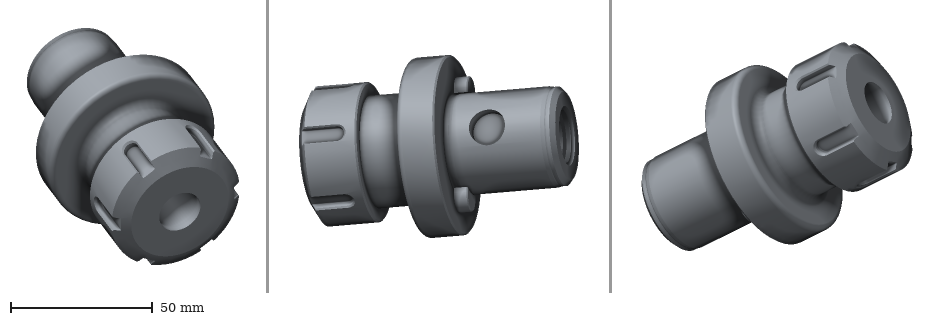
import cadquery as cq
import math


shank_length = 40.0
shank_radius = 18.0
pilot_radius = 17.7
pilot_length = 2.3
nose_chamfer_length = 1.7
nose_radius = 15.7
groove_length = 0.9
groove_radius = 17.55
groove_wall_length = 0.3
lead_in_length = 1.4

undercut_length = 2.6
undercut_taper_length = 1.3
undercut_radius = 17.7
undercut_fillet = 0.6
face_relief_depth = 0.3
face_relief_radius = 19.8

flange_radius = 32.0
flange_thickness = 14.0
flange_chamfer = 0.6
flange_fillet = 2.0
neck_radius = 20.0
neck_fillet = 3.0

bore_radius = 8.0
mouth_radius = 9.5
mouth_fillet = 1.1
mouth_depth = 2.85
bore_cone_length = 0.85

side_hole_x = -15.6
side_hole_radius = 6.6
side_hole_bottom = 12.0

key_height = 5.0
key_radius = 5.4
key_center = 19.5
key_inner_radius = 18.4
key_chamfer = 0.4
key_angles = (0, 180)

nut_start = 30.5
nut_length = 22.5
nut_end = nut_start + nut_length
nut_radius = 24.9
nut_rear_chamfer = 0.6
nut_front_radius = 18.9
nut_cone_length = 3.55

slot_count = 6
first_slot_angle = 90.0
slot_half_width = 2.75
slot_floor_fillet = 0.3
slot_center_x = 37.85
slot_floor = 22.0
slot_rim_chamfer = 0.6
slot_rim_angle = 45.0
slot_overrun = 1.0


def revolve_about_x(outline):
    """Solid of revolution from a half outline drawn as (x, radius)."""
    return outline.close().revolve(360, (0, 0, 0), (1, 0, 0))


def make_holder():
    """Shank, flange and neck in one turned body, with the side hole in the shank."""
    shank_end = -shank_length
    nose_end = shank_end + nose_chamfer_length
    pilot_end = shank_end + pilot_length
    groove_end = pilot_end + groove_length
    lead_in_start = groove_end + groove_wall_length
    mid_arc = math.radians(45)
    undercut_bottom = face_relief_depth - undercut_fillet
    mouth_bottom = shank_end + mouth_depth
    outline = (
        cq.Workplane("XY")
        .moveTo(shank_end, mouth_radius + mouth_fillet)
        .lineTo(shank_end, nose_radius)
        .lineTo(nose_end, pilot_radius)
        .lineTo(pilot_end, pilot_radius)
        .lineTo(groove_end, groove_radius)
        .lineTo(lead_in_start, pilot_radius)
        .lineTo(lead_in_start + lead_in_length, shank_radius)
        .lineTo(-undercut_length, shank_radius)
        .lineTo(-undercut_length + undercut_taper_length, undercut_radius)
        .lineTo(undercut_bottom, undercut_radius)
        .threePointArc(
            (
                undercut_bottom + undercut_fillet * math.sin(mid_arc),
                undercut_radius + undercut_fillet * (1 - math.cos(mid_arc)),
            ),
            (face_relief_depth, undercut_radius + undercut_fillet),
        )
        .lineTo(0, face_relief_radius)
        .lineTo(0, flange_radius - flange_chamfer)
        .lineTo(flange_chamfer, flange_radius)
        .lineTo(flange_thickness - flange_fillet, flange_radius)
        .radiusArc((flange_thickness, flange_radius - flange_fillet), flange_fillet)
        .lineTo(flange_thickness, neck_radius + neck_fillet)
        .radiusArc((flange_thickness + neck_fillet, neck_radius), -neck_fillet)
        .lineTo(nut_start, neck_radius)
        .lineTo(nut_start, bore_radius)
        .lineTo(mouth_bottom + bore_cone_length, bore_radius)
        .lineTo(mouth_bottom, mouth_radius)
        .lineTo(shank_end + mouth_fillet, mouth_radius)
        .radiusArc((shank_end, mouth_radius + mouth_fillet), -mouth_fillet)
    )
    side_hole = (
        cq.Workplane("XZ", origin=(side_hole_x, side_hole_bottom, 0))
        .circle(side_hole_radius)
        .extrude(side_hole_bottom - shank_radius)
    )
    return revolve_about_x(outline).cut(side_hole)


def make_key(angle):
    """Key with a rounded outer end, standing on the flange face at the +Z side, then turned about X."""
    key = (
        cq.Workplane("YZ")
        .moveTo(-key_radius, 0)
        .lineTo(-key_radius, key_center)
        .threePointArc((0, key_center + key_radius), (key_radius, key_center))
        .lineTo(key_radius, 0)
        .close()
        .extrude(-key_height)
        .faces("<X")
        .chamfer(key_chamfer)
    )
    shank_clearance = cq.Workplane("YZ").circle(key_inner_radius).extrude(-key_height)
    return key.cut(shank_clearance).rotate((0, 0, 0), (1, 0, 0), angle)


def slot_outline(half_width, height):
    """U-shaped slot, open toward the nut's front end."""
    return (
        cq.Workplane("XY", origin=(0, 0, height))
        .moveTo(nut_end + slot_overrun, -half_width)
        .lineTo(slot_center_x, -half_width)
        .threePointArc((slot_center_x - half_width, 0), (slot_center_x, half_width))
        .lineTo(nut_end + slot_overrun, half_width)
        .close()
    )


def make_nut():
    """Nut standing against the end of the neck, with spanner slots around it."""
    outline = (
        cq.Workplane("XY")
        .moveTo(nut_start, bore_radius)
        .lineTo(nut_start, nut_radius - nut_rear_chamfer)
        .lineTo(nut_start + nut_rear_chamfer, nut_radius)
        .lineTo(nut_end - nut_cone_length, nut_radius)
        .lineTo(nut_end, nut_front_radius)
        .lineTo(nut_end, bore_radius)
    )
    nut = revolve_about_x(outline)
    wall_top = math.sqrt(nut_radius**2 - slot_half_width**2)
    slot = slot_outline(slot_half_width, slot_floor).extrude(nut_radius - slot_floor)
    slot = slot.faces("<Z").edges("not(>X)").fillet(slot_floor_fillet)
    rim_bottom = wall_top - slot_rim_chamfer
    rim = slot_outline(slot_half_width, rim_bottom).extrude(2 * slot_rim_chamfer, taper=-slot_rim_angle)
    cutter = slot.union(rim)
    for index in range(slot_count):
        angle = first_slot_angle + index * 360 / slot_count
        nut = nut.cut(cutter.rotate((0, 0, 0), (1, 0, 0), angle))
    return nut


holder = make_holder()
nut = make_nut()
keys = [make_key(angle) for angle in key_angles]

result = cq.Compound.makeCompound([holder.val(), nut.val(), *[key.val() for key in keys]])